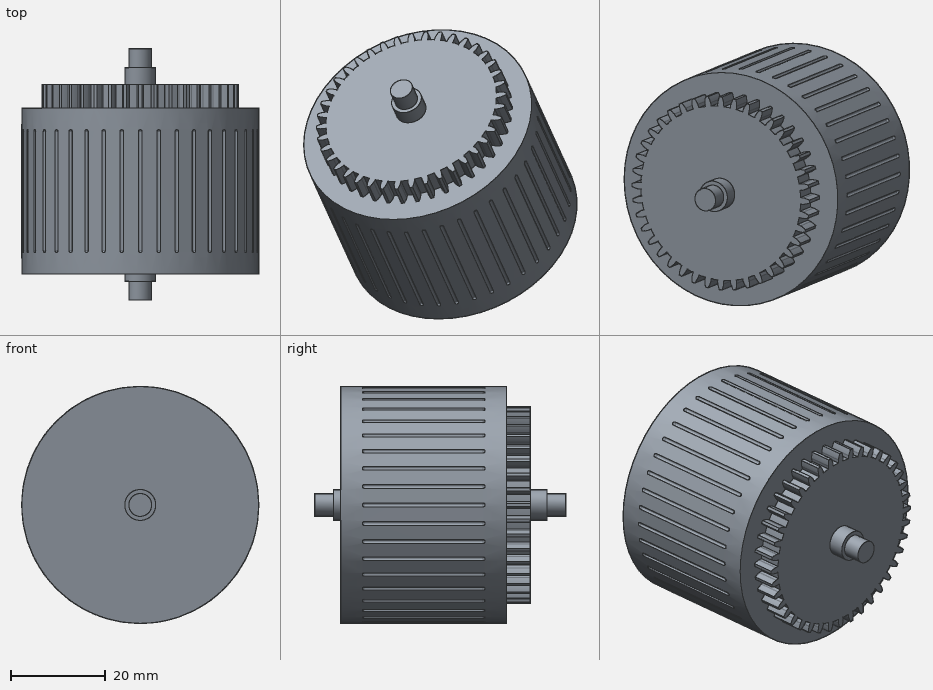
import cadquery as cq
import math

TOTAL_LENGTH = 53.0
JOURNAL_LENGTH = 4.0
FRONT_COLLAR_LENGTH = 1.55
BODY_LENGTH = 35.0
GEAR_LENGTH = 5.0

BODY_DIAMETER = 50.0
COLLAR_DIAMETER = 6.5
JOURNAL_DIAMETER = 4.8

GROOVE_COUNT = 40
GROOVE_WIDTH = 0.8
GROOVE_LENGTH = 25.85

TOOTH_COUNT = 40
GEAR_DIAMETER = 41.5
TOOTH_HEIGHT = 2.05
TOOTH_TIP_WIDTH = 0.65
TOOTH_SHOULDER_WIDTH = 1.4
TOOTH_ROOT_WIDTH = 1.45
SHOULDER_HEIGHT = 0.75
FLANK_BULGE = 0.035

SHAFT_FRONT = -TOTAL_LENGTH / 2
COLLAR_FRONT = SHAFT_FRONT + JOURNAL_LENGTH
BODY_FRONT = COLLAR_FRONT + FRONT_COLLAR_LENGTH
BODY_REAR = BODY_FRONT + BODY_LENGTH
COLLAR_REAR = TOTAL_LENGTH / 2 - JOURNAL_LENGTH


def cylinder_along_y(diameter, start, end):
    """Solid cylinder on the Y axis between two Y positions."""
    base = cq.Workplane("XZ", origin=(0, start, 0))
    return base.circle(diameter / 2).extrude(start - end)


def make_shaft():
    """Through shaft: a thicker collar with a thinner journal at each end."""
    journal = cylinder_along_y(JOURNAL_DIAMETER, SHAFT_FRONT, TOTAL_LENGTH / 2)
    collar = cylinder_along_y(COLLAR_DIAMETER, COLLAR_FRONT, COLLAR_REAR)
    return journal.union(collar)


def make_grooved_body():
    """Cylinder with round-bottomed axial grooves that have spherical ends."""
    radius = BODY_DIAMETER / 2
    groove_radius = GROOVE_WIDTH / 2
    middle = (BODY_FRONT + BODY_REAR) / 2
    groove_front = middle - GROOVE_LENGTH / 2
    groove_rear = middle + GROOVE_LENGTH / 2

    cutter = (
        cq.Workplane("XY", origin=(0, 0, radius))
        .moveTo(0, groove_front)
        .radiusArc((groove_radius, groove_front + groove_radius), -groove_radius)
        .lineTo(groove_radius, groove_rear - groove_radius)
        .radiusArc((0, groove_rear), -groove_radius)
        .close()
        .revolve(360, (0, 0, 0), (0, 1, 0))
        .val()
    )
    cutters = []
    for index in range(GROOVE_COUNT):
        angle = index * 360 / GROOVE_COUNT
        cutters.append(cutter.rotate((0, 0, 0), (0, 1, 0), angle))
    body = cylinder_along_y(BODY_DIAMETER, BODY_FRONT, BODY_REAR)
    return body.cut(cq.Workplane(obj=cq.Compound.makeCompound(cutters)))


def make_gear():
    """Spur gear with one tooth pointing straight up.

    Each flank is straight from the root to a shoulder, then bowed up to the tip.
    """
    tip_radius = GEAR_DIAMETER / 2
    root_radius = tip_radius - TOOTH_HEIGHT
    shoulder_radius = root_radius + SHOULDER_HEIGHT
    middle_radius = (tip_radius + shoulder_radius) / 2
    middle_width = (TOOTH_TIP_WIDTH + TOOTH_SHOULDER_WIDTH) / 2 + 2 * FLANK_BULGE
    pitch = 2 * math.pi / TOOTH_COUNT

    def point(radius, angle):
        return (radius * math.sin(angle), radius * math.cos(angle))

    def flank_point(radius, width, centre, side):
        return point(radius, centre + side * math.asin(width / 2 / radius))

    outline = cq.Workplane("XZ", origin=(0, BODY_REAR, 0))
    outline = outline.moveTo(*flank_point(root_radius, TOOTH_ROOT_WIDTH, 0, -1))
    for index in range(TOOTH_COUNT):
        centre = index * pitch
        outline = (
            outline
            .lineTo(*flank_point(shoulder_radius, TOOTH_SHOULDER_WIDTH, centre, -1))
            .threePointArc(
                flank_point(middle_radius, middle_width, centre, -1),
                flank_point(tip_radius, TOOTH_TIP_WIDTH, centre, -1),
            )
            .threePointArc(
                point(tip_radius, centre),
                flank_point(tip_radius, TOOTH_TIP_WIDTH, centre, 1),
            )
            .threePointArc(
                flank_point(middle_radius, middle_width, centre, 1),
                flank_point(shoulder_radius, TOOTH_SHOULDER_WIDTH, centre, 1),
            )
            .lineTo(*flank_point(root_radius, TOOTH_ROOT_WIDTH, centre, 1))
            .threePointArc(
                point(root_radius, centre + pitch / 2),
                flank_point(root_radius, TOOTH_ROOT_WIDTH, centre + pitch, -1),
            )
        )
    return outline.close().extrude(-GEAR_LENGTH)


result = make_grooved_body().union(make_gear()).union(make_shaft())